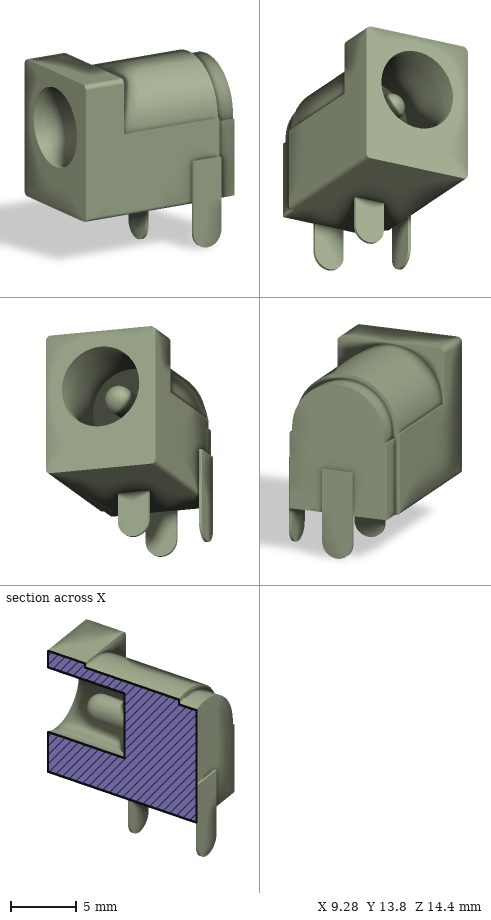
import cadquery as cq

HOUSING_WIDTH = 8.9
HOUSING_HEIGHT = 10.9
BLOCK_LENGTH = 3.43
MAIN_LENGTH = 12.0
HOUSING_LENGTH = 13.6
TOP_FILLET = 0.4
BOTTOM_FILLET = 0.3
AXIS_HEIGHT = 6.5
BARREL_RADIUS = 4.25
REAR_INSET = 0.4

SOCKET_DIAMETER = 6.3
SOCKET_DEPTH = 7.0
PIN_DIAMETER = 2.1
PIN_TIP_SETBACK = 3.0
PIN_TIP_FILLET = 1.02

TERMINAL_WIDTH = 2.5
TERMINAL_THICKNESS = 0.25
TERMINAL_TOP = 3.5
TERMINAL_DROP = 3.5
SIDE_GAP = 0.13
SIDE_TERMINAL_Y = 10.7
MIDDLE_TERMINAL_Y = 7.47
OVERALL_LENGTH = 13.8


def box(width, start_y, end_y, height):
    """Box resting on Z = 0, centred on X, between two Y positions."""
    return (
        cq.Workplane("XY")
        .box(width, end_y - start_y, height, centered=(True, False, False))
        .translate((0, start_y, 0))
    )


def rod(radius, start_y, end_y):
    """Cylinder along the socket axis between two Y positions."""
    return cq.Workplane("XZ", origin=(0, start_y, AXIS_HEIGHT)).circle(radius).extrude(start_y - end_y)


def make_shell():
    """Front block, barrel on a box base, and the smaller rear section."""
    block = (
        box(HOUSING_WIDTH, 0, BLOCK_LENGTH, HOUSING_HEIGHT)
        .edges("|Y and >Z").fillet(TOP_FILLET)
    )
    base = box(HOUSING_WIDTH, 0, MAIN_LENGTH, AXIS_HEIGHT)
    barrel = rod(BARREL_RADIUS, 0, MAIN_LENGTH)
    main = block.union(base).union(barrel)
    main = main.edges("|Y and <Z").fillet(BOTTOM_FILLET)

    rear_width = HOUSING_WIDTH - 2 * REAR_INSET
    rear_base = box(rear_width, BLOCK_LENGTH, HOUSING_LENGTH, AXIS_HEIGHT - REAR_INSET)
    rear_barrel = rod(BARREL_RADIUS - REAR_INSET, BLOCK_LENGTH, HOUSING_LENGTH)
    return main.union(rear_base).union(rear_barrel)


def make_contact_pin():
    """Round-tipped pin standing on the socket floor."""
    pin = rod(PIN_DIAMETER / 2, PIN_TIP_SETBACK, HOUSING_LENGTH)
    return pin.faces("<Y").edges().fillet(PIN_TIP_FILLET)


def make_terminal(centre_x, centre_y, turn):
    """Upright strip with a round lower end, turned about Z by the given angle."""
    tip_radius = TERMINAL_WIDTH / 2
    arc_height = tip_radius - TERMINAL_DROP
    return (
        cq.Workplane("XZ")
        .moveTo(-tip_radius, TERMINAL_TOP)
        .lineTo(-tip_radius, arc_height)
        .threePointArc((0, -TERMINAL_DROP), (tip_radius, arc_height))
        .lineTo(tip_radius, TERMINAL_TOP)
        .close()
        .extrude(TERMINAL_THICKNESS / 2, both=True)
        .rotate((0, 0, 0), (0, 0, 1), turn)
        .translate((centre_x, centre_y, 0))
    )


side_terminal_x = HOUSING_WIDTH / 2 + SIDE_GAP + TERMINAL_THICKNESS / 2
rear_terminal_y = OVERALL_LENGTH - TERMINAL_THICKNESS / 2
terminal_places = [
    (0, rear_terminal_y, 0),
    (0, MIDDLE_TERMINAL_Y, 0),
    (side_terminal_x, SIDE_TERMINAL_Y, 90),
]
terminals = [make_terminal(*place) for place in terminal_places]

housing = make_shell().cut(rod(SOCKET_DIAMETER / 2, 0, SOCKET_DEPTH)).union(make_contact_pin())
for terminal in terminals:
    housing = housing.cut(terminal)

result = cq.Compound.makeCompound([housing.val(), *[terminal.val() for terminal in terminals]])